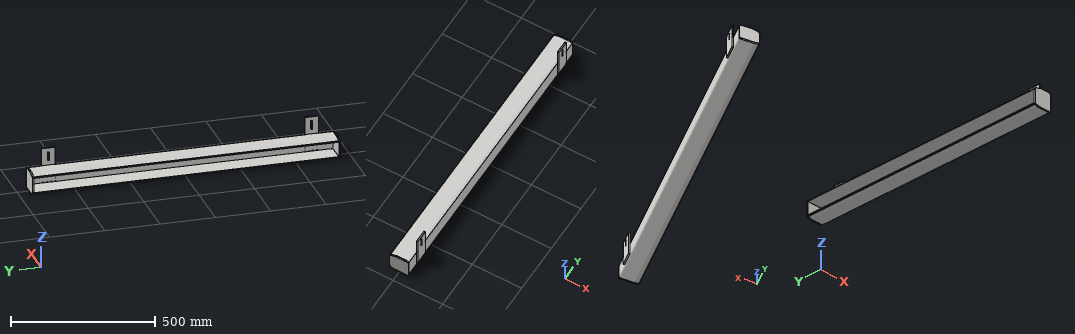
import cadquery as cq

total_length = 1113.0
total_height = 138.0
case_width = 77.0
case_height = 77.0

front_top_drop = 8.0
roof_flat_start = 27.0
roof_flat_end = 67.0
rear_top_drop = 3.0
floor_flat_start = 19.0
front_bottom_rise = 5.0
rear_bottom_radius = 5.0
front_corner_chamfer = 2.0

rear_wall = 5.0
cap_thickness = 6.0
cap_overlap = 1.0

channel_floor = 10.0
channel_roof = 65.0

bracket_thickness = 6.0
bracket_width = 50.0
bracket_height = 126.0
bracket_end_distance = 56.0
slot_width = 6.5
slot_length = 32.0
slot_top_margin = 16.0


def case_outline(y, roof_height):
    """Closed outer outline of the case in the XZ plane at the given Y."""
    front_top = case_height - front_top_drop
    return (
        cq.Workplane("XZ", origin=(0, y, 0))
        .moveTo(front_corner_chamfer, front_bottom_rise)
        .lineTo(0, front_bottom_rise + front_corner_chamfer)
        .lineTo(0, front_top - front_corner_chamfer)
        .lineTo(front_corner_chamfer, front_top)
        .lineTo(roof_flat_start, roof_height)
        .lineTo(roof_flat_end, roof_height)
        .lineTo(case_width, case_height - rear_top_drop)
        .lineTo(case_width, rear_bottom_radius)
        .radiusArc((case_width - rear_bottom_radius, 0), rear_bottom_radius)
        .lineTo(floor_flat_start, 0)
        .close()
    )


def make_profile():
    """Case profile between the caps, with a channel open along its front."""
    length = total_length - 2 * cap_thickness
    body = case_outline(total_length - cap_thickness, case_height - cap_overlap).extrude(length)
    channel = cq.Workplane("XY").box(
        case_width - rear_wall, length, channel_roof - channel_floor, centered=False
    ).translate((0, cap_thickness, channel_floor))
    return body.cut(channel)


def make_end_cap(y_start):
    """Flat plate that closes one end of the profile."""
    return case_outline(y_start + cap_thickness, case_height).extrude(cap_thickness)


def make_bracket(y_center):
    """Flat wall bracket against the rear of the case, with an upright slot."""
    plate = cq.Workplane("XY").box(
        bracket_thickness, bracket_width, bracket_height, centered=(False, True, False)
    ).translate((case_width, y_center, total_height - bracket_height))
    slot_center_z = total_height - slot_top_margin - slot_length / 2
    slot = (
        cq.Workplane("YZ", origin=(case_width, y_center, slot_center_z))
        .slot2D(slot_length, slot_width, 90)
        .extrude(bracket_thickness)
    )
    return plate.cut(slot)


profile = make_profile()
end_caps = [make_end_cap(y) for y in (0, total_length - cap_thickness)]

bracket_offset = bracket_end_distance + bracket_width / 2
brackets = [make_bracket(y) for y in (bracket_offset, total_length - bracket_offset)]

result = cq.Compound.makeCompound(
    [
        profile.val(),
        *[cap.val() for cap in end_caps],
        *[bracket.val() for bracket in brackets],
    ]
)